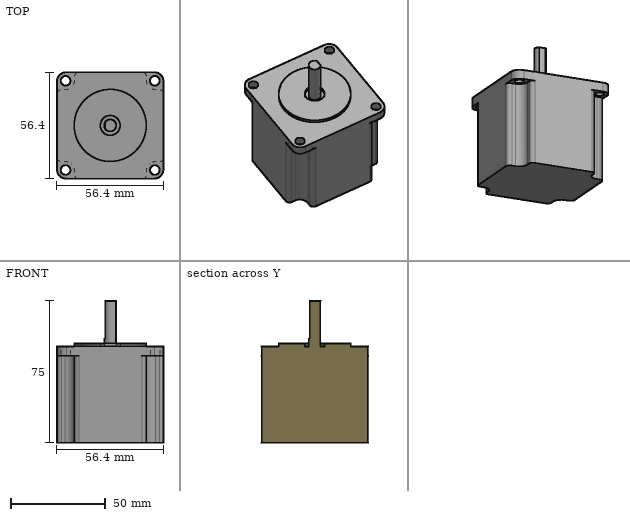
import cadquery as cq

FRAME_SIZE = 56.4
TOTAL_HEIGHT = 75.0
BODY_HEIGHT = 46.0
FLANGE_THICKNESS = 5.0
FLANGE_CORNER_RADIUS = 5.0

HOLE_PITCH = 47.14
HOLE_DIAMETER = 5.0

CHANNEL_WIDTH = 9.2
CHANNEL_CORNER_RADIUS = 4.9
CHANNEL_LIP_RADIUS = 2.3

BOSS_DIAMETER = 38.1
BOSS_HEIGHT = 1.6
RECESS_DIAMETER = 10.5
RECESS_DEPTH = BOSS_HEIGHT

SHAFT_DIAMETER = 6.35
FLAT_LENGTH = 20.0
WIDTH_ACROSS_FLAT = 5.8
FLAT_END_RADIUS = 0.5

HALF_FRAME = FRAME_SIZE / 2
FLANGE_TOP = BODY_HEIGHT + FLANGE_THICKNESS
BOSS_TOP = FLANGE_TOP + BOSS_HEIGHT
RECESS_FLOOR = BOSS_TOP - RECESS_DEPTH
SHAFT_RADIUS = SHAFT_DIAMETER / 2


def make_body():
    """Square motor body with a rounded channel along each vertical corner."""
    body = cq.Workplane("XY").rect(FRAME_SIZE, FRAME_SIZE).extrude(BODY_HEIGHT)
    channels = (
        cq.Workplane("XY")
        .rect(FRAME_SIZE, FRAME_SIZE, forConstruction=True)
        .vertices()
        .rect(2 * CHANNEL_WIDTH, 2 * CHANNEL_WIDTH)
        .extrude(BODY_HEIGHT)
    )
    body = body.cut(channels)
    for x_side in (-1, 1):
        for y_side in (-1, 1):
            body = round_channel(body, x_side, y_side)
    return body


def round_channel(body, x_side, y_side):
    """Round the inner corner and both outer lips of the channel on the given sides."""
    inner_x = x_side * (HALF_FRAME - CHANNEL_WIDTH)
    inner_y = y_side * (HALF_FRAME - CHANNEL_WIDTH)
    body = fillet_upright_edge(body, inner_x, inner_y, CHANNEL_CORNER_RADIUS)
    body = fillet_upright_edge(body, x_side * HALF_FRAME, inner_y, CHANNEL_LIP_RADIUS)
    return fillet_upright_edge(body, inner_x, y_side * HALF_FRAME, CHANNEL_LIP_RADIUS)


def fillet_upright_edge(body, x, y, radius):
    """Fillet the vertical body edge that stands at x, y."""
    edge_middle = cq.selectors.NearestToPointSelector((x, y, BODY_HEIGHT / 2))
    return body.edges("|Z").edges(edge_middle).fillet(radius)


def make_flange():
    """Mounting flange with rounded corners and four through holes."""
    return (
        cq.Workplane("XY")
        .workplane(offset=BODY_HEIGHT)
        .rect(FRAME_SIZE, FRAME_SIZE)
        .extrude(FLANGE_THICKNESS)
        .edges("|Z")
        .fillet(FLANGE_CORNER_RADIUS)
        .faces(">Z")
        .workplane()
        .rect(HOLE_PITCH, HOLE_PITCH, forConstruction=True)
        .vertices()
        .hole(HOLE_DIAMETER)
    )


def make_boss():
    """Centring boss on top of the flange."""
    return cq.Workplane("XY").workplane(offset=FLANGE_TOP).circle(BOSS_DIAMETER / 2).extrude(BOSS_HEIGHT)


def make_recess():
    """Round recess around the shaft, open at the boss face."""
    return cq.Workplane("XY").workplane(offset=RECESS_FLOOR).circle(RECESS_DIAMETER / 2).extrude(RECESS_DEPTH)


def make_shaft():
    """Shaft whose flat ends in a small concave fillet at its lower end."""
    shaft = (
        cq.Workplane("XY")
        .workplane(offset=RECESS_FLOOR)
        .circle(SHAFT_RADIUS)
        .extrude(TOTAL_HEIGHT - RECESS_FLOOR)
    )
    flat_bottom = TOTAL_HEIGHT - FLAT_LENGTH
    flat_x = SHAFT_RADIUS - WIDTH_ACROSS_FLAT
    flat_cut = (
        cq.Workplane("XZ")
        .moveTo(-SHAFT_RADIUS, flat_bottom)
        .lineTo(flat_x - FLAT_END_RADIUS, flat_bottom)
        .radiusArc((flat_x, flat_bottom + FLAT_END_RADIUS), -FLAT_END_RADIUS)
        .lineTo(flat_x, TOTAL_HEIGHT)
        .lineTo(-SHAFT_RADIUS, TOTAL_HEIGHT)
        .close()
        .extrude(SHAFT_RADIUS, both=True)
    )
    return shaft.cut(flat_cut)


housing = make_body().union(make_flange()).union(make_boss()).cut(make_recess())
result = housing.union(make_shaft()).clean()